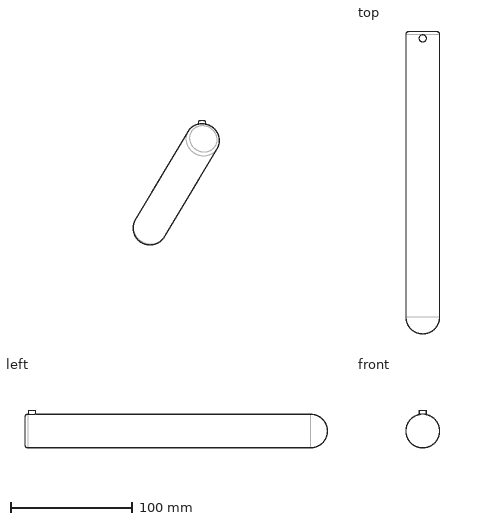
import cadquery as cq
import math

total_length = 250.0
rod_diameter = 28.0
rod_radius = rod_diameter / 2

rear_edge_fillet = 2.5

pin_diameter = 6.0
pin_height = 3.0
pin_from_rear = 5.8

rear_y = total_length - rod_radius


def make_rod():
    """Revolve the half profile of the domed rod about its axis, then round the rear edge."""
    dome_mid = rod_radius * math.sqrt(0.5)
    profile = (
        cq.Workplane("XY")
        .moveTo(0, -rod_radius)
        .threePointArc((dome_mid, -dome_mid), (rod_radius, 0))
        .lineTo(rod_radius, rear_y)
        .lineTo(0, rear_y)
        .close()
    )
    rod = profile.revolve(360, (0, 0), (0, 1))
    return rod.faces(">Y").edges().fillet(rear_edge_fillet)


def make_pin():
    """Upright pin rooted on the rod axis so that it merges fully with the rod."""
    return (
        cq.Workplane("XY")
        .center(0, rear_y - pin_from_rear)
        .circle(pin_diameter / 2)
        .extrude(rod_radius + pin_height)
    )


result = make_rod().union(make_pin())